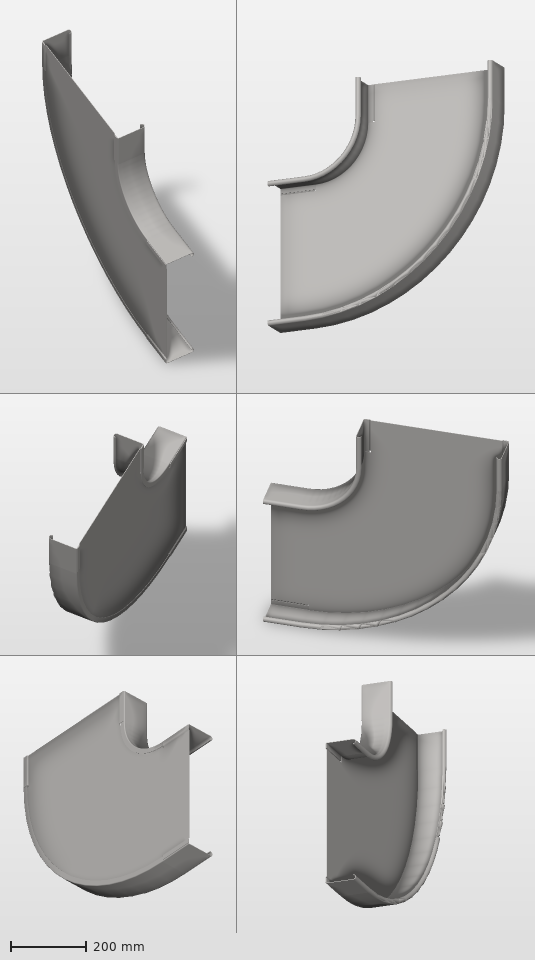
import cadquery as cq
import math


overall_size = 655.0
overall_depth = 87.0
outer_bend_radius = 550.0
tray_width = 400.0
sheet = 1.5
lip_width = 15.0
lip_bend_radius = 2.5
curl_radius = 7.0
curl_depth = 8.5
flange_length = 100.0
joggle_end = 17.0

leg_length = overall_size - outer_bend_radius
inner_bend_radius = outer_bend_radius - tray_width
rail_height = overall_depth - sheet
joggle_depth = 2 * sheet
joggle_start = joggle_end + joggle_depth
diagonal = math.sqrt(0.5)


def rail_profile(bend_radius, inward):
    """Rail section across the +Z leg; inward is +1 or -1, the X direction into the tray."""
    def at(depth, y):
        return (-bend_radius + inward * depth, y)

    def on_lip_bend(radius):
        offset = lip_bend_radius - radius * diagonal
        return at(offset, offset)

    curl_y = rail_height - curl_radius
    curl_edge_y = rail_height - curl_depth
    curl_width = 2 * curl_radius
    return (
        cq.Workplane("XY")
        .moveTo(*at(lip_width, 0))
        .lineTo(*at(lip_bend_radius, 0))
        .threePointArc(on_lip_bend(lip_bend_radius), at(0, lip_bend_radius))
        .lineTo(*at(0, curl_y))
        .threePointArc(at(curl_radius, rail_height), at(curl_width, curl_y))
        .lineTo(*at(curl_width, curl_edge_y))
        .lineTo(*at(curl_width - sheet, curl_edge_y))
        .lineTo(*at(curl_width - sheet, curl_y))
        .threePointArc(at(curl_radius, rail_height - sheet), at(sheet, curl_y))
        .lineTo(*at(sheet, lip_bend_radius))
        .threePointArc(on_lip_bend(lip_bend_radius - sheet), at(lip_bend_radius, sheet))
        .lineTo(*at(lip_width, sheet))
        .close()
    )


def side_rail(bend_radius, inward):
    """Rail that follows the leg, the quarter bend and the other leg."""
    upper_leg = rail_profile(bend_radius, inward).extrude(leg_length)
    bend = rail_profile(bend_radius, inward).revolve(90, (0, 0, 0), (0, -1, 0))
    return upper_leg.union(bend).union(mirror_to_other_leg(upper_leg))


def mirror_to_other_leg(leg):
    """Mirror a +Z leg in the plane X = Z, where it becomes the +X leg."""
    return leg.rotate((0, 0, 0), (0, 1, 0), 90).mirror("XY")


def flat_sheet():
    """Flat part: laps behind the lips along the bend, narrower along the legs for the joggles."""
    outer_arc = outer_bend_radius - lip_bend_radius
    inner_arc = inner_bend_radius + lip_bend_radius
    outer_leg = outer_bend_radius - joggle_start
    inner_leg = inner_bend_radius + joggle_start

    def on_bend(radius):
        return (-radius * diagonal, -radius * diagonal)

    outline = (
        cq.Workplane("XZ", origin=(0, sheet, 0))
        .moveTo(-outer_leg, leg_length)
        .lineTo(-outer_leg, 0)
        .lineTo(-outer_arc, 0)
        .threePointArc(on_bend(outer_arc), (0, -outer_arc))
        .lineTo(0, -outer_leg)
        .lineTo(leg_length, -outer_leg)
        .lineTo(leg_length, -inner_leg)
        .lineTo(0, -inner_leg)
        .lineTo(0, -inner_arc)
        .threePointArc(on_bend(inner_arc), (-inner_arc, 0))
        .lineTo(-inner_leg, 0)
        .lineTo(-inner_leg, leg_length)
        .close()
    )
    return outline.extrude(-sheet)


def leg_flange(bend_radius, inward):
    """Joggled edge on the +Z leg that covers the front of the rail lip."""
    section = [
        (joggle_start, sheet),
        (joggle_end, -sheet),
        (lip_bend_radius, -sheet),
        (lip_bend_radius, 0),
        (joggle_end, 0),
        (joggle_start, 2 * sheet),
    ]
    points = [(-bend_radius + inward * depth, y) for depth, y in section]
    flange_start = leg_length - flange_length
    return (
        cq.Workplane("XY", origin=(0, 0, flange_start))
        .polyline(points)
        .close()
        .extrude(flange_length)
    )


def bottom_sheet():
    """Flat sheet with a joggled flange on both edges of each leg."""
    sheet_body = flat_sheet()
    for bend_radius, inward in ((outer_bend_radius, 1), (inner_bend_radius, -1)):
        flange = leg_flange(bend_radius, inward)
        sheet_body = sheet_body.union(flange).union(mirror_to_other_leg(flange))
    return sheet_body


bottom = bottom_sheet()
outer_rail = side_rail(outer_bend_radius, 1)
inner_rail = side_rail(inner_bend_radius, -1)

result = cq.Compound.makeCompound([bottom.val(), outer_rail.val(), inner_rail.val()])